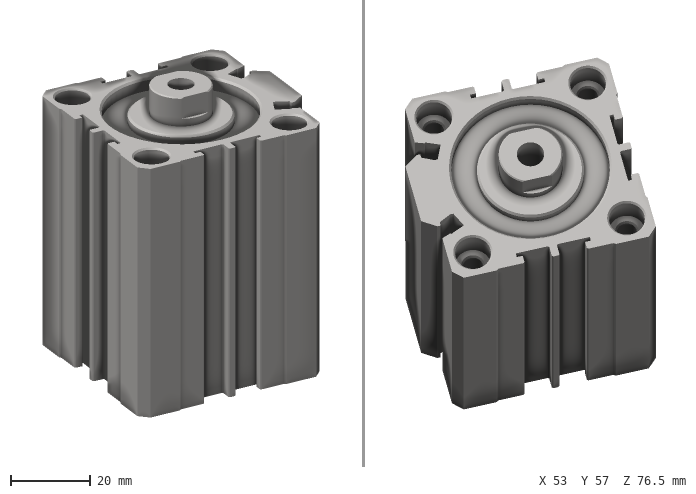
import cadquery as cq

TOTAL_HEIGHT = 76.5
WIDTH = 53.0
DEPTH = 57.0
BODY_HEIGHT = 69.5
HALF = WIDTH / 2
RAIL_TOP = DEPTH - HALF
CORNER_CHAMFER = 2.45

SLOTTED_SIDES = (0, 90, -90)
RELIEF_DEPTH = 0.4
RELIEF_OUTER = 15.5
RELIEF_INNER = 14.9
SLOT_FLOOR = 22.95
UNDERCUT_HEIGHT = 1.1
UNDERCUT_HALF = 9.65
MOUTH_HALF = 8.1
RIB_HALF = 1.0
EDGE_BREAK = 0.3

RAIL_TOP_HALF = 8.1
RAIL_HALF = 10.55
RAIL_LIP_BOTTOM = 26.0
RAIL_LIP_TOP = 26.9
RAIL_NECK = (8.0, 22.95)
RAIL_LIP_ROOT = (9.6, RAIL_LIP_BOTTOM)
GROOVE_MOUTH = (14.15, HALF)
GROOVE_LIP_EDGE = (13.3, 24.2)
GROOVE_LIP_BACK = (13.55, 24.0)
GROOVE_OUTER_CORNER = (11.9, 20.35)
GROOVE_INNER_CORNER = (8.0, 22.1)

HOLE_SPACING = 40.0
HOLE_DIAMETER = 5.05
HOLE_CHAMFER = 0.45
COUNTERBORE_DIAMETER = 9.0
COUNTERBORE_DEPTH = 7.0
COUNTERBORE_CHAMFER = 0.45

RECESS_DIAMETER = 40.0
RECESS_DEPTH = 3.5
RECESS_CHAMFER = 0.5
BOSS_DIAMETER = 27.0
BOSS_DROP = 1.0
BOSS_CHAMFER = 0.5

ROD_DIAMETER = 16.1
ROD_CHAMFER = 0.3
ROD_SEAT_DEPTH = 19.9
FLATS_WIDTH = 14.1
FLATS_LENGTH = 5.9
ROD_BORE_DIAMETER = 6.9
ROD_BORE_DEPTH = 13.0


def prism(points):
    """Extrude a closed outline over the housing height."""
    return cq.Workplane("XY").polyline(points).close().extrude(BODY_HEIGHT)


def mirror_pair(solid):
    """Return the solid together with its mirror image across X = 0."""
    return solid.union(solid.mirror("YZ"))


def side_slots():
    """Relief and two half T-slots beside the middle rib, cut into the -Y side."""
    face = -HALF
    land = -(HALF - RELIEF_DEPTH)
    undercut = -(SLOT_FLOOR + UNDERCUT_HEIGHT)
    relief = prism([
        (-RELIEF_OUTER, face),
        (RELIEF_OUTER, face),
        (RELIEF_INNER, land),
        (-RELIEF_INNER, land),
    ])
    half_slot = prism([
        (RIB_HALF - EDGE_BREAK, land),
        (RIB_HALF, land + EDGE_BREAK),
        (RIB_HALF, -SLOT_FLOOR - EDGE_BREAK),
        (RIB_HALF + EDGE_BREAK, -SLOT_FLOOR),
        (UNDERCUT_HALF, -SLOT_FLOOR),
        (UNDERCUT_HALF, undercut),
        (MOUTH_HALF, undercut),
        (MOUTH_HALF, land + EDGE_BREAK),
        (MOUTH_HALF + EDGE_BREAK, land),
    ])
    return relief.union(mirror_pair(half_slot))


def rail_grooves():
    """Slanted grooves on both sides of the rail."""
    groove = prism([
        GROOVE_MOUTH,
        GROOVE_LIP_EDGE,
        GROOVE_LIP_BACK,
        GROOVE_OUTER_CORNER,
        GROOVE_INNER_CORNER,
        RAIL_NECK,
        RAIL_LIP_ROOT,
        (RAIL_HALF, RAIL_LIP_BOTTOM),
        (RAIL_HALF, HALF),
    ])
    return mirror_pair(groove)


def rail():
    """Part of the rail that stands out beyond the +Y face."""
    return prism([
        (-RAIL_HALF, HALF),
        (RAIL_HALF, HALF),
        (RAIL_HALF, RAIL_LIP_TOP),
        (RAIL_TOP_HALF, RAIL_TOP),
        (-RAIL_TOP_HALF, RAIL_TOP),
        (-RAIL_HALF, RAIL_LIP_TOP),
    ])


def cylinder(diameter, bottom, top):
    """Cylinder on the Z axis between two heights."""
    return cq.Workplane("XY").workplane(offset=bottom).circle(diameter / 2).extrude(top - bottom)


def cone_mouth(diameter, chamfer, top):
    """Cone that chamfers the mouth of a round hole whose rim lies at the given height."""
    radius = diameter / 2
    cone = cq.Solid.makeCone(radius, radius + chamfer, chamfer, pnt=cq.Vector(0, 0, top - chamfer))
    return cq.Workplane(cone)


def mounting_hole():
    """Through hole with a chamfered counterbore, on the Z axis."""
    seat = BODY_HEIGHT - COUNTERBORE_DEPTH
    drill = cylinder(HOLE_DIAMETER, 0, seat)
    drill = drill.union(cone_mouth(HOLE_DIAMETER, HOLE_CHAMFER, seat))
    counterbore = cylinder(COUNTERBORE_DIAMETER, seat, BODY_HEIGHT)
    counterbore = counterbore.union(cone_mouth(COUNTERBORE_DIAMETER, COUNTERBORE_CHAMFER, BODY_HEIGHT))
    return drill.union(counterbore)


def end_recess():
    """Ring-shaped recess around the chamfered boss."""
    floor = BODY_HEIGHT - RECESS_DEPTH
    recess = cylinder(RECESS_DIAMETER, floor, BODY_HEIGHT)
    recess = recess.union(cone_mouth(RECESS_DIAMETER, RECESS_CHAMFER, BODY_HEIGHT))
    boss = cylinder(BOSS_DIAMETER, floor, BODY_HEIGHT - BOSS_DROP)
    return recess.cut(boss.faces(">Z").chamfer(BOSS_CHAMFER))


def make_housing():
    """Profile housing with mounting holes, end recess and blind rod seat."""
    body = cq.Workplane("XY").rect(WIDTH, WIDTH).extrude(BODY_HEIGHT)
    body = body.edges("|Z").chamfer(CORNER_CHAMFER)
    for turn in SLOTTED_SIDES:
        body = body.cut(side_slots().rotate((0, 0, 0), (0, 0, 1), turn))
    body = body.cut(rail_grooves()).union(rail())
    for x in (-HOLE_SPACING / 2, HOLE_SPACING / 2):
        for y in (-HOLE_SPACING / 2, HOLE_SPACING / 2):
            body = body.cut(mounting_hole().translate((x, y, 0)))
    body = body.cut(end_recess())
    return body.cut(cylinder(ROD_DIAMETER, BODY_HEIGHT - ROD_SEAT_DEPTH, BODY_HEIGHT))


def make_rod():
    """Piston rod with two wrench flats and a blind bore in its end."""
    rod = cylinder(ROD_DIAMETER, BODY_HEIGHT - ROD_SEAT_DEPTH, TOTAL_HEIGHT)
    rod = rod.faces(">Z").chamfer(ROD_CHAMFER)
    between_flats = cq.Workplane("XY").box(FLATS_WIDTH, ROD_DIAMETER, FLATS_LENGTH)
    flats = cq.Workplane("XY").box(ROD_DIAMETER, ROD_DIAMETER, FLATS_LENGTH).cut(between_flats)
    rod = rod.cut(flats.translate((0, 0, TOTAL_HEIGHT - FLATS_LENGTH / 2)))
    return rod.cut(cylinder(ROD_BORE_DIAMETER, TOTAL_HEIGHT - ROD_BORE_DEPTH, TOTAL_HEIGHT))


housing = make_housing()
rod = make_rod()
result = cq.Compound.makeCompound([housing.val(), rod.val()])